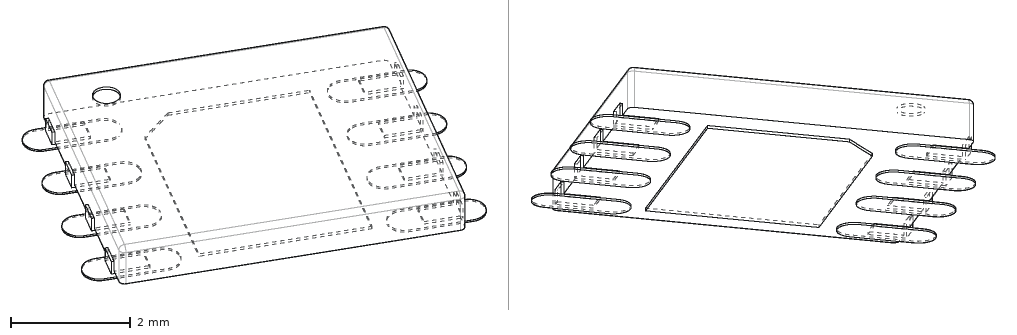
import cadquery as cq

overall_length = 7.0
overall_height = 0.83

body_width = 5.0
body_length = 6.0
edge_radius = 0.1
land_thickness = 0.035
standoff = 0.05
body_bottom = land_thickness + standoff
body_height = overall_height - body_bottom

leads_per_row = 4
lead_pitch = 1.27
lead_width = 0.4
lead_height = 0.26
lead_length = 0.67
lead_projection = 0.05
land_width = 0.595
land_length = 1.71

pad_width = 4.0
pad_length = 3.0
pad_corner_cut = 0.545

dimple_diameter = 0.47
dimple_depth = 0.05
dimple_x = -1.765
dimple_y = -2.085


def make_body():
    """Rectangular block with rounded vertical and top edges and a sharp bottom."""
    block = (
        cq.Workplane("XY")
        .workplane(offset=body_bottom)
        .box(body_width, body_length, body_height, centered=(True, True, False))
    )
    return block.edges("|Z or >Z").fillet(edge_radius)


def make_pad():
    """Thin pad that fills the standoff below the body."""
    pad = (
        cq.Workplane("XY")
        .workplane(offset=land_thickness)
        .box(pad_width, pad_length, standoff, centered=(True, True, False))
    )
    return pad.edges("|Z and <X and <Y").chamfer(pad_corner_cut)


def lead_positions(row_y):
    """Lead centres, equally spaced about X = 0 in both rows at Y = -row_y and +row_y."""
    first_x = -lead_pitch * (leads_per_row - 1) / 2
    return [
        (first_x + index * lead_pitch, side * row_y)
        for side in (-1, 1)
        for index in range(leads_per_row)
    ]


def make_leads():
    """Rectangular leads that stand on the lands and just project from the body."""
    lead_row_y = body_length / 2 + lead_projection - lead_length / 2
    return (
        cq.Workplane("XY")
        .workplane(offset=land_thickness)
        .pushPoints(lead_positions(lead_row_y))
        .rect(lead_width, lead_length)
        .extrude(lead_height)
    )


def make_lands():
    """Flat lands with round ends that reach the full length of the part."""
    land_row_y = (overall_length - land_length) / 2
    return (
        cq.Workplane("XY")
        .pushPoints(lead_positions(land_row_y))
        .slot2D(land_length, land_width, 90)
        .extrude(land_thickness)
    )


def make_dimple():
    """Cylinder to be removed from the top face."""
    return (
        cq.Workplane("XY")
        .workplane(offset=overall_height - dimple_depth)
        .center(dimple_x, dimple_y)
        .circle(dimple_diameter / 2)
        .extrude(dimple_depth)
    )


body = make_body().cut(make_dimple())
result = body.union(make_pad()).union(make_leads()).union(make_lands())